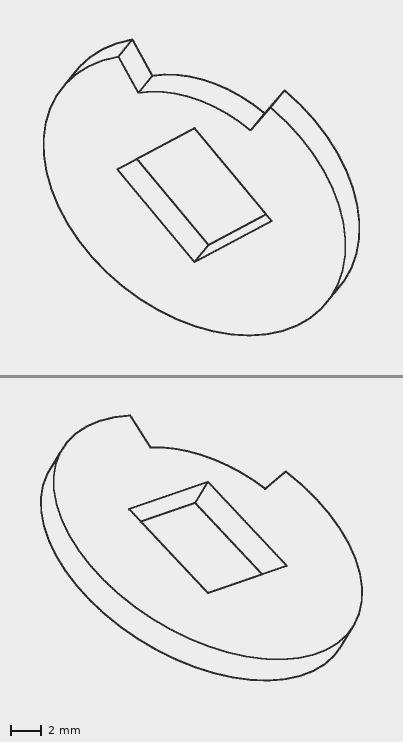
import cadquery as cq
import math

outer_radius = 11.24
thickness = 2.0
inner_radius = 8.3
notch_top_height = 9.7
square_side = 8.11

notch_half_angle = math.acos(notch_top_height / outer_radius)


def rim_point(radius, angle):
    """Point at a radius and an angle measured from the vertical axis."""
    return (radius * math.sin(angle), radius * math.cos(angle))


body = (
    cq.Workplane("XZ")
    .moveTo(*rim_point(outer_radius, notch_half_angle))
    .threePointArc((0, -outer_radius), rim_point(outer_radius, -notch_half_angle))
    .lineTo(*rim_point(inner_radius, -notch_half_angle))
    .threePointArc((0, inner_radius), rim_point(inner_radius, notch_half_angle))
    .close()
    .extrude(thickness / 2, both=True)
)

square_hole = (
    cq.Workplane("XZ")
    .transformed(rotate=(0, 0, 45))
    .rect(square_side, square_side)
    .extrude(thickness, both=True)
)

result = body.cut(square_hole)